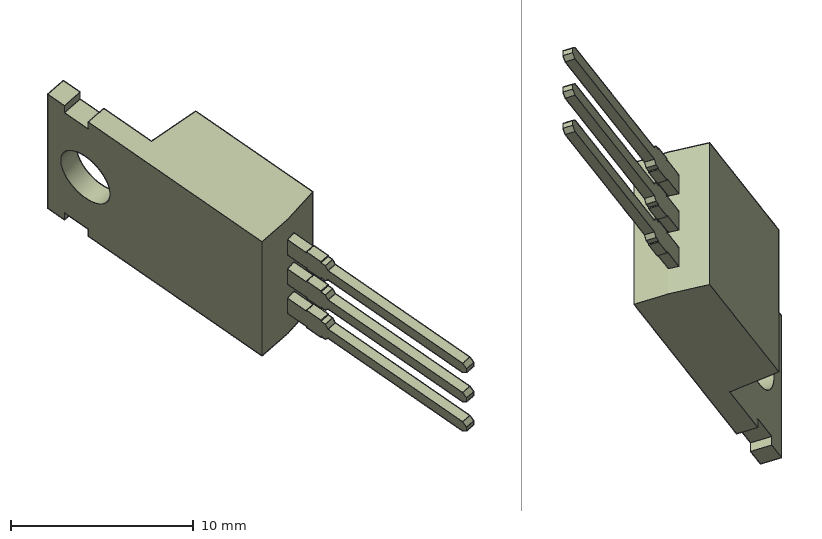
import cadquery as cq

total_length = 28.78
total_thickness = 4.5
width = 9.9

tab_thickness = 1.3
hole_diameter = 3.6
hole_x = 2.75
notch_start = 1.25
notch_end = 2.95
notch_depth = 0.6

body_start = 6.45
body_end = 15.69
body_top_start = 6.85
body_top_end = 15.43

lead_pitch = 2.53
lead_offsets = (-lead_pitch, 0, lead_pitch)
lead_thickness = 0.6
lead_bottom = 2.1
lead_top = lead_bottom + lead_thickness
parting_height = lead_bottom
lead_root = body_end - 0.58
collar_start = 17.07
collar_end = 18.13
shoulder_end = 18.45
pin_start = 18.65
tip_start = 28.5
shoulder_half_width = 0.65
collar_half_width = 0.75
pin_half_width = 0.4
tip_half_width = 0.17


def make_body_and_tab():
    """Side profile of the tab and tapered body, extruded across the width."""
    profile = [
        (0, 0),
        (body_end, 0),
        (body_end, parting_height),
        (body_top_end, total_thickness),
        (body_top_start, total_thickness),
        (body_start, tab_thickness),
        (0, tab_thickness),
    ]
    return cq.Workplane("XY").polyline(profile).close().extrude(width / 2, both=True)


def cut_tab(part):
    """Cut the mounting hole and the notch in each side edge of the tab."""
    hole = cq.Workplane("XZ").center(hole_x, 0).circle(hole_diameter / 2).extrude(-tab_thickness)
    part = part.cut(hole)
    for side in (-1, 1):
        notch = (
            cq.Workplane("XZ")
            .center((notch_start + notch_end) / 2, side * width / 2)
            .rect(notch_end - notch_start, 2 * notch_depth)
            .extrude(-tab_thickness)
        )
        part = part.cut(notch)
    return part


def make_lead(offset):
    """Flat lead with a wide shoulder, a collar, a narrow pin and a tapered tip."""
    upper_edge = [
        (lead_root, shoulder_half_width),
        (collar_start, shoulder_half_width),
        (collar_start, collar_half_width),
        (collar_end, collar_half_width),
        (collar_end, shoulder_half_width),
        (shoulder_end, shoulder_half_width),
        (pin_start, pin_half_width),
        (tip_start, pin_half_width),
        (total_length, tip_half_width),
    ]
    lower_edge = [(x, -z) for x, z in reversed(upper_edge)]
    return (
        cq.Workplane("XZ", origin=(0, lead_top, offset))
        .polyline(upper_edge + lower_edge)
        .close()
        .extrude(lead_thickness)
    )


result = cut_tab(make_body_and_tab())
for lead_offset in lead_offsets:
    result = result.union(make_lead(lead_offset))